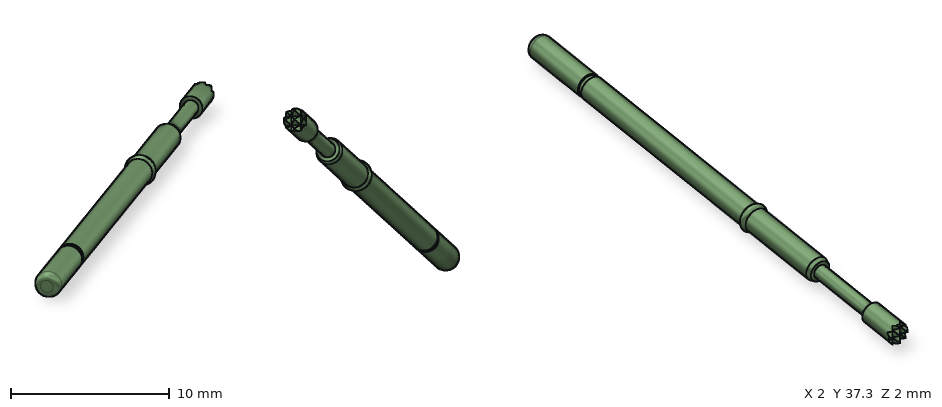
import cadquery as cq

overall_length = 37.3

barrel_radius = 0.85
barrel_length = 29.1
tail_rounding = 0.45
mouth_radius = 0.75
mouth_taper_length = 0.35

ring_radius = 1.0
ring_centre = 22.25
ring_width = 0.55

groove_centre = 5.52
groove_width = 0.37
groove_depth = 0.1

shaft_radius = 0.5
head_radius = 0.75
head_length = 2.95

serration_pitch = 0.6
serration_depth = 0.45
groove_lines = (-1.5, -0.5, 0.5, 1.5)


def cylinder(radius, start, end):
    """Solid cylinder on the Y axis from Y = start to Y = end."""
    return cq.Workplane("XZ", origin=(0, start, 0)).circle(radius).extrude(start - end)


def make_barrel():
    barrel = cylinder(barrel_radius, 0, barrel_length)
    barrel = barrel.faces("<Y").edges().fillet(tail_rounding)
    mouth_step = barrel_radius - mouth_radius
    return barrel.faces(">Y").edges().chamfer(mouth_taper_length, mouth_step)


def make_press_ring():
    """Rounded bulge, highest at the middle of its width."""
    half_width = ring_width / 2
    profile = (
        cq.Workplane("XY")
        .moveTo(0, ring_centre - half_width)
        .lineTo(barrel_radius, ring_centre - half_width)
        .threePointArc((ring_radius, ring_centre), (barrel_radius, ring_centre + half_width))
        .lineTo(0, ring_centre + half_width)
        .close()
    )
    return profile.revolve(360, (0, 0, 0), (0, 1, 0))


def make_tail_groove():
    start = groove_centre - groove_width / 2
    end = groove_centre + groove_width / 2
    outer = cylinder(ring_radius, start, end)
    return outer.cut(cylinder(barrel_radius - groove_depth, start, end))


def make_plunger():
    head_start = overall_length - head_length
    shaft = cylinder(shaft_radius, barrel_length, head_start)
    return shaft.union(cylinder(head_radius, head_start, overall_length))


def make_serration_grooves():
    """V grooves running along Z and along X, meeting in sharp ridges at the tip."""
    grooves = []
    half_pitch = serration_pitch / 2
    for line in groove_lines:
        middle = line * serration_pitch
        groove = (
            cq.Workplane("XY")
            .moveTo(middle - half_pitch, overall_length)
            .lineTo(middle, overall_length - serration_depth)
            .lineTo(middle + half_pitch, overall_length)
            .close()
            .extrude(2 * head_radius, both=True)
        )
        grooves.append(groove)
        grooves.append(groove.rotate((0, 0, 0), (0, 1, 0), 90))
    return grooves


probe = make_barrel().union(make_press_ring()).cut(make_tail_groove()).union(make_plunger())
for serration_groove in make_serration_grooves():
    probe = probe.cut(serration_groove)
result = probe